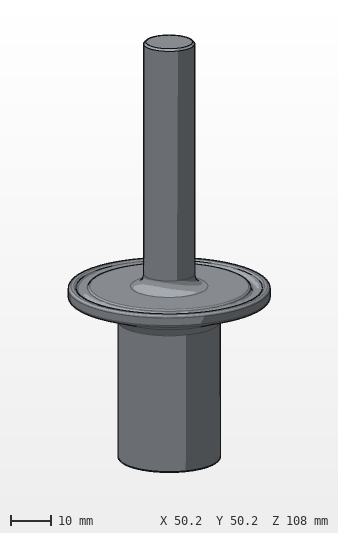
import cadquery as cq
import math

total_height = 108.0
rod_radius = 6.4
stem_radius = 12.7

flange_diameter = 50.2
flange_radius = flange_diameter / 2
flange_top = 44.6
rim_height = 3.0
cone_angle = 20.0
rim_bottom = flange_top - rim_height
cone_drop = (flange_radius - stem_radius) * math.tan(math.radians(cone_angle))
cone_bottom = rim_bottom - cone_drop

groove_mid_radius = 21.7
groove_half_width = 1.5
groove_depth = 1.4

rod_root_fillet = 3.2
cone_root_fillet = 2.2
rim_fillet = 0.6
groove_lip_fillet = 0.5
rod_chamfer = 0.5
stem_chamfer = 0.3
pick_tolerance = 0.1


def circle_edges(body, radius, height):
    """Select the circular edges of a given radius lying at a given height."""
    reach = radius + pick_tolerance
    inner = radius - pick_tolerance
    selection = cq.selectors.BoxSelector(
        (-reach, -reach, height - pick_tolerance),
        (reach, reach, height + pick_tolerance),
        boundingbox=True,
    )
    edges = body.edges(selection)
    return edges.filter(lambda edge: edge.geomType() == "CIRCLE" and edge.radius() > inner)


def revolved_body():
    """Rod, flange and stem turned about the Z axis, with a round-bottomed groove."""
    groove_inner = groove_mid_radius - groove_half_width
    groove_outer = groove_mid_radius + groove_half_width
    profile = (
        cq.Workplane("XZ")
        .lineTo(stem_radius, 0)
        .lineTo(stem_radius, cone_bottom)
        .lineTo(flange_radius, rim_bottom)
        .lineTo(flange_radius, flange_top)
        .lineTo(groove_outer, flange_top)
        .threePointArc((groove_mid_radius, flange_top - groove_depth), (groove_inner, flange_top))
        .lineTo(rod_radius, flange_top)
        .lineTo(rod_radius, total_height)
        .lineTo(0, total_height)
        .close()
    )
    return profile.revolve(360, (0, 0, 0), (0, 1, 0))


body = revolved_body()

body = circle_edges(body, rod_radius, flange_top).fillet(rod_root_fillet)
body = circle_edges(body, stem_radius, cone_bottom).fillet(cone_root_fillet)

for rim_edge_height in (flange_top, rim_bottom):
    body = circle_edges(body, flange_radius, rim_edge_height).fillet(rim_fillet)
for side in (-1, 1):
    lip_radius = groove_mid_radius + side * groove_half_width
    body = circle_edges(body, lip_radius, flange_top).fillet(groove_lip_fillet)

body = circle_edges(body, rod_radius, total_height).chamfer(rod_chamfer)
body = circle_edges(body, stem_radius, 0).chamfer(stem_chamfer)

result = body